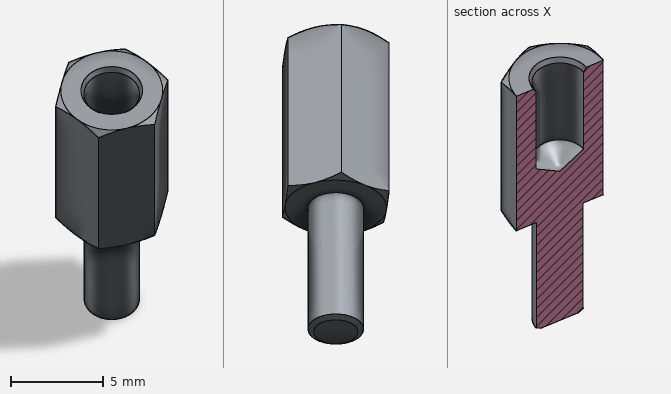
import cadquery as cq
import math

total_length = 18.0
body_length = 10.0
stud_length = total_length - body_length
across_flats = 5.5
across_corners = across_flats / math.cos(math.radians(30))
thread_diameter = 3.0

corner_bevel_angle = 30.0
stud_tip_width = 0.3
stud_tip_height = 0.18
bore_chamfer_width = 0.16
bore_chamfer_depth = 0.29

bore_depth = 6.0
drill_point_angle = 118.0

flat_radius = across_flats / 2
corner_radius = across_corners / 2
thread_radius = thread_diameter / 2


def revolve_profile(points):
    """Revolve a closed (radius, height) outline about the Z axis."""
    return cq.Workplane("XZ").polyline(points).close().revolve(360, (0, 0), (0, 1))


def make_body():
    """Hexagonal prism with its corners bevelled conically at both ends."""
    bevel_height = (corner_radius - flat_radius) * math.tan(math.radians(corner_bevel_angle))
    envelope_radius = 2 * corner_radius - flat_radius
    envelope = revolve_profile([
        (0, 0),
        (flat_radius, 0),
        (envelope_radius, 2 * bevel_height),
        (envelope_radius, body_length - 2 * bevel_height),
        (flat_radius, body_length),
        (0, body_length),
    ])
    return cq.Workplane("XY").polygon(6, across_corners).extrude(body_length).intersect(envelope)


def make_stud():
    """Round stud below the body, starting inside it and ending in a bevelled tip."""
    overlap = 0.18
    return revolve_profile([
        (0, overlap),
        (thread_radius, overlap),
        (thread_radius, -stud_length + stud_tip_height),
        (thread_radius - stud_tip_width, -stud_length),
        (0, -stud_length),
    ])


def make_bore():
    """Blind hole from the top face, with a chamfered mouth and a drill point."""
    floor = body_length - bore_depth
    point_depth = thread_radius / math.tan(math.radians(drill_point_angle / 2))
    return revolve_profile([
        (0, body_length),
        (thread_radius + bore_chamfer_width, body_length),
        (thread_radius, body_length - bore_chamfer_depth),
        (thread_radius, floor),
        (0, floor - point_depth),
    ])


result = make_body().union(make_stud()).cut(make_bore())